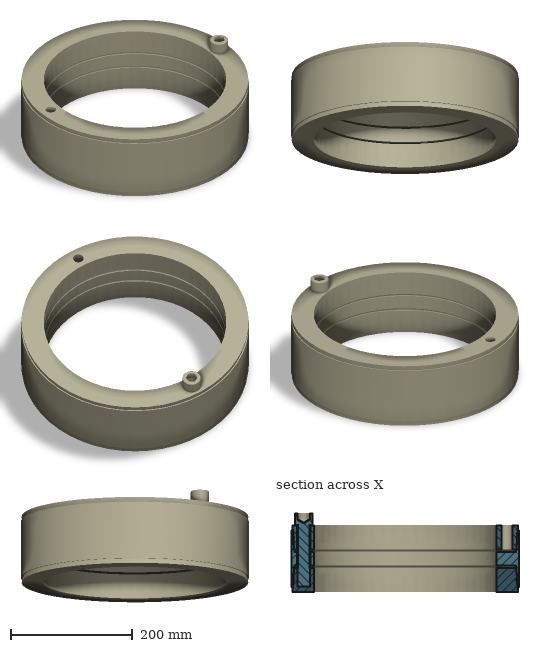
import cadquery as cq
import math


bore_radius = 300 / 2
outer_radius = 375 / 2
assembly_height = 110
mid_height = assembly_height / 2

taper_ring_length = 40
taper_ring_end_radius = 186.5
taper_angle = 6

outer_ring_setback = 8
web_gap = 3.5

bolt_circle_radius = 167
shank_diameter = 20
clearance_diameter = 22
jacking_hole_diameter = 17.29
head_diameter = 30
head_height = 20
head_edge_fillet = 2
socket_sides = 6
socket_across_flats = 17
socket_depth = 10
socket_tip_angle = 120
screw_length = 100


def taper_radius(depth):
    """Radius of the tapered faces at a depth measured inward from an end face."""
    return taper_ring_end_radius - depth * math.tan(math.radians(taper_angle))


def revolve_section(points):
    """Turn a closed (radius, height) section about the Z axis."""
    return cq.Workplane("XZ").polyline(points).close().revolve(360, (0, 0, 0), (0, 1, 0))


def bolt_cylinder(diameter, y, bottom, top):
    """Vertical cylinder on the bolt circle, used for holes and the screw."""
    return cq.Workplane("XY", origin=(0, y, bottom)).circle(diameter / 2).extrude(top - bottom)


screw_y = bolt_circle_radius
jacking_hole_y = -bolt_circle_radius
screw_tip_z = assembly_height - screw_length
upper_ring_inner_z = assembly_height - taper_ring_length


def make_plain_lower_ring():
    """Tapered ring without holes, with its wide end at Z = 0."""
    return revolve_section([
        (bore_radius, 0),
        (taper_radius(0), 0),
        (taper_radius(taper_ring_length), taper_ring_length),
        (bore_radius, taper_ring_length),
    ])


def make_rear_ring():
    """Lower ring, which holds the end of the screw in a blind hole."""
    screw_hole = bolt_cylinder(shank_diameter, screw_y, screw_tip_z, taper_ring_length)
    return make_plain_lower_ring().cut(screw_hole)


def make_front_ring():
    """Upper ring, with a clearance hole for the screw and a jacking hole opposite."""
    ring = make_plain_lower_ring().mirror("XY", (0, 0, mid_height))
    screw_hole = bolt_cylinder(clearance_diameter, screw_y, upper_ring_inner_z, assembly_height)
    jacking_hole = bolt_cylinder(
        jacking_hole_diameter, jacking_hole_y, upper_ring_inner_z, assembly_height
    )
    return ring.cut(screw_hole).cut(jacking_hole)


def make_outer_ring():
    """Outer ring with a double-tapered inside and a central web reaching to the bore."""
    web_bottom = taper_ring_length + web_gap
    web_top = assembly_height - web_bottom
    ring_top = assembly_height - outer_ring_setback
    mouth_radius = taper_radius(outer_ring_setback)
    web_root_radius = taper_radius(web_bottom)
    ring = revolve_section([
        (outer_radius, outer_ring_setback),
        (outer_radius, ring_top),
        (mouth_radius, ring_top),
        (web_root_radius, web_top),
        (bore_radius, web_top),
        (bore_radius, web_bottom),
        (web_root_radius, web_bottom),
        (mouth_radius, outer_ring_setback),
    ])
    return ring.cut(bolt_cylinder(clearance_diameter, screw_y, web_bottom, web_top))


def make_screw():
    """Cap screw with a hexagon socket that ends in a drill-point cone."""
    head_top = assembly_height + head_height
    head = bolt_cylinder(head_diameter, screw_y, assembly_height, head_top)
    head = head.faces(">Z").edges().fillet(head_edge_fillet)
    shank = bolt_cylinder(shank_diameter, screw_y, screw_tip_z, assembly_height)

    socket_across_corners = socket_across_flats / math.cos(math.pi / socket_sides)
    socket_floor = head_top - socket_depth
    socket = (
        cq.Workplane("XY", origin=(0, screw_y, socket_floor))
        .transformed(rotate=(0, 0, 90))
        .polygon(socket_sides, socket_across_corners)
        .extrude(socket_depth)
    )
    tip_radius = socket_across_corners / 2
    tip_depth = tip_radius / math.tan(math.radians(socket_tip_angle / 2))
    tip_base = cq.Vector(0, screw_y, socket_floor)
    tip = cq.Workplane(cq.Solid.makeCone(tip_radius, 0, tip_depth, tip_base, cq.Vector(0, 0, -1)))
    tip = tip.intersect(socket.translate((0, 0, -socket_depth)))
    return head.union(shank).cut(socket).cut(tip)


outer_ring = make_outer_ring()
front_ring = make_front_ring()
rear_ring = make_rear_ring()
screw = make_screw()

result = cq.Compound.makeCompound([
    outer_ring.val(),
    front_ring.val(),
    rear_ring.val(),
    screw.val(),
])